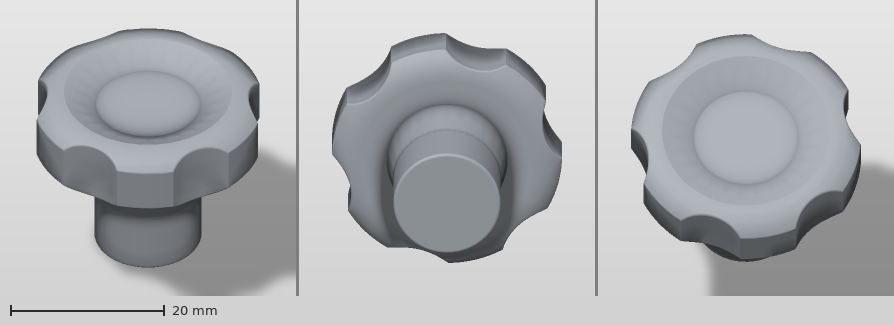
import cadquery as cq
import math

total_height = 24.0
head_height = 9.0
head_radius = 15.0

crown_radius = 11.35
shoulder_radius = 5.0
rim_fillet = 0.3

grip_count = 6
grip_radius = 7.0
grip_center_distance = 20.14

dish_floor_radius = 6.8
dish_rim_radius = 10.95
dish_depth = 2.0

stem_radius = 7.0
flare_radius = 7.9
flare_start = 8.6
stem_fillet = 0.4

head_bottom = total_height - head_height


def revolve_about_z(profile):
    return profile.close().revolve(360, (0, 0, 0), (0, 1, 0))


def make_disc():
    """Turned disc whose arc shoulders run tangent into both flat faces."""
    shoulder_run = head_radius - crown_radius
    shoulder_angle = math.asin(shoulder_run / shoulder_radius)
    shoulder_drop = shoulder_radius * (1 - math.cos(shoulder_angle))
    half_angle = shoulder_angle / 2
    mid_radius = crown_radius + shoulder_radius * math.sin(half_angle)
    mid_drop = shoulder_radius * (1 - math.cos(half_angle))
    rim_bottom = head_bottom + shoulder_drop
    rim_top = total_height - shoulder_drop
    return revolve_about_z(
        cq.Workplane("XZ")
        .moveTo(0, head_bottom)
        .lineTo(crown_radius, head_bottom)
        .threePointArc((mid_radius, head_bottom + mid_drop), (head_radius, rim_bottom))
        .lineTo(head_radius, rim_top)
        .threePointArc((mid_radius, total_height - mid_drop), (crown_radius, total_height))
        .lineTo(0, total_height)
    )


def cut_grips(disc):
    cutters = (
        cq.Workplane("XY", origin=(0, 0, head_bottom))
        .polarArray(grip_center_distance, 0, 360, grip_count)
        .circle(grip_radius)
        .extrude(head_height)
    )
    return disc.cut(cutters)


def round_rim(head):
    """Fillet the edges around the outside of the rim, where it meets the shoulders."""
    return head.faces("%CYLINDER").edges("not |Z").fillet(rim_fillet)


def make_dish():
    dish_floor = total_height - dish_depth
    return revolve_about_z(
        cq.Workplane("XZ")
        .moveTo(0, total_height)
        .lineTo(dish_rim_radius, total_height)
        .lineTo(dish_floor_radius, dish_floor)
        .lineTo(0, dish_floor)
    )


def make_stem():
    stem = revolve_about_z(
        cq.Workplane("XZ")
        .lineTo(stem_radius, 0)
        .lineTo(stem_radius, flare_start)
        .lineTo(flare_radius, head_bottom)
        .lineTo(0, head_bottom)
    )
    return stem.faces("<Z").edges().fillet(stem_fillet)


head = round_rim(cut_grips(make_disc()))
result = head.cut(make_dish()).union(make_stem())